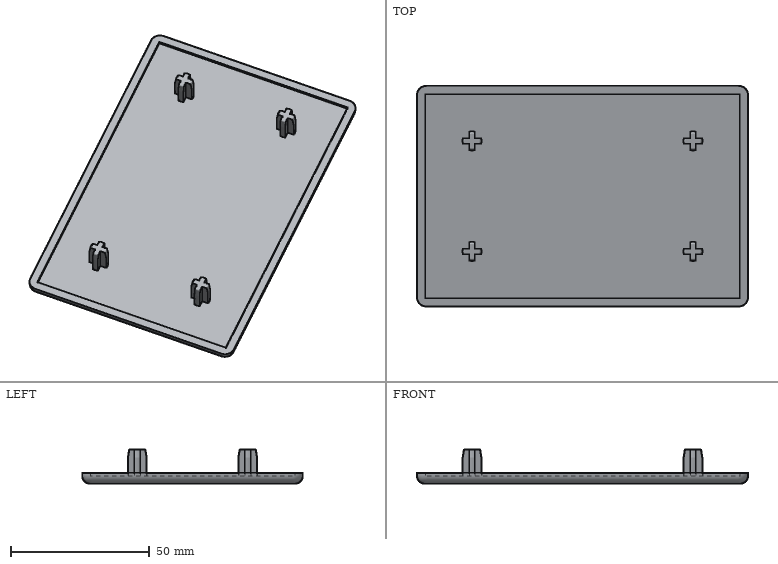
import cadquery as cq

length = 120.0
width = length * 2 / 3
plate_height = 4.0
corner_radius = 3.5
bottom_fillet = 3.0

rim_width = 3.0
recess_depth = 1.0
floor_z = plate_height - recess_depth

total_height = 12.5
peg_x = length / 3
peg_y = width / 4
arm_width = 2.0
peg_radius = 3.5
taper_height = 3.0
taper_top_radius = 3.0
tip_fillet = 0.5


def make_tray():
    """Rectangular plate with rounded corners, a rounded underside edge and a square-cornered recess."""
    plate = (
        cq.Workplane("XY")
        .rect(length, width)
        .extrude(plate_height)
        .edges("|Z")
        .fillet(corner_radius)
        .faces("<Z")
        .edges()
        .fillet(bottom_fillet)
    )
    recess = (
        cq.Workplane("XY", origin=(0, 0, floor_z))
        .rect(length - 2 * rim_width, width - 2 * rim_width)
        .extrude(recess_depth)
    )
    return plate.cut(recess)


def make_peg():
    """Cross-shaped peg whose arm ends follow a round envelope that narrows to a rounded top edge."""
    arm_length = 2 * peg_radius
    peg_height = total_height - floor_z
    base = cq.Workplane("XY", origin=(0, 0, floor_z))
    cross = base.rect(arm_length, arm_width).extrude(peg_height)
    cross = cross.union(base.rect(arm_width, arm_length).extrude(peg_height))
    envelope = (
        cq.Workplane("XZ")
        .moveTo(0, floor_z)
        .lineTo(peg_radius, floor_z)
        .lineTo(peg_radius, total_height - taper_height)
        .lineTo(taper_top_radius, total_height)
        .lineTo(0, total_height)
        .close()
        .revolve(360, (0, 0, 0), (0, 1, 0))
        .faces(">Z")
        .edges()
        .fillet(tip_fillet)
    )
    return cross.intersect(envelope)


result = make_tray()
peg = make_peg()
for x in (-peg_x, peg_x):
    for y in (-peg_y, peg_y):
        result = result.union(peg.translate((x, y, 0)))